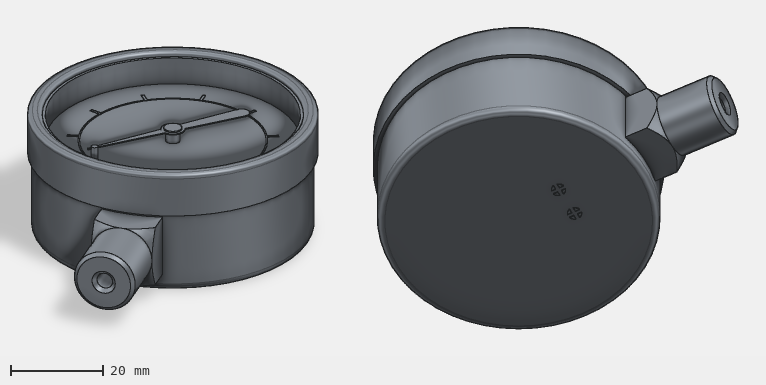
import cadquery as cq
import math


bezel_dia = 63.2
total_length = 82.4
total_height = 28.85
screw_head_height = 0.25

case_dia = 61.5
case_edge_radius = 1.65
bezel_bottom_z = 18.55
bezel_edge_radius = 1.1
bezel_opening_dia = 56.8
window_dia = 55.5
window_depth = 1.15
dial_depth = 7.4

stem_dia = 13.85
stem_axis_z = 10.9
stem_chamfer = 0.8
wrench_block_end = 37.75
wrench_corner_cut = 2.5
port_dia = 3.55
port_mouth_dia = 5.3
port_depth = 9.9

scale_inner_radius = 20.3
scale_line_width = 0.3
tick_outer_radius = 23.1
tick_width = 0.7
tick_steps = 8
scale_start_angle = -45.0
scale_sweep = 270.0
scale_relief = 0.1

needle_angle = 45.0
needle_thickness = 0.25
needle_top_height = 2.9
needle_head_dia = 3.55
needle_head_reach = 16.9
needle_tail_reach = 20.9
needle_tail_width = 0.3
needle_disc_dia = 5.3
cap_dia = 3.95
cap_height = 0.3
shaft_dia = 3.1

stop_pin_dia = 1.5
stop_pin_height = 3.9
stop_pin_x = -13.1
stop_pin_y = -15.2

screw_head_dia = 3.1
screw_slot_width = 0.9
screw_offset_x = 3.7
screw_y = -11.8

top_z = total_height - screw_head_height
window_z = top_z - window_depth
dial_z = top_z - dial_depth
stem_end = total_length - bezel_dia / 2


def disc(dia, bottom_z, height, x=0.0, y=0.0):
    """Upright cylinder standing on the level bottom_z."""
    return cq.Workplane("XY", origin=(x, y, bottom_z)).circle(dia / 2).extrude(height)


def make_housing():
    """Case with a rounded back edge, and the wider bezel with its rounded rim and recess."""
    case = disc(case_dia, 0, window_z).faces("<Z").edges().fillet(case_edge_radius)
    bezel = disc(bezel_dia, bezel_bottom_z, top_z - bezel_bottom_z)
    bezel = bezel.cut(disc(bezel_opening_dia, window_z, window_depth))
    bezel = bezel.faces(">Z").edges().fillet(bezel_edge_radius)
    return case.union(bezel).cut(disc(window_dia, dial_z, dial_depth))


def make_stem():
    """Round stem and square wrench block whose corners are turned to a cone."""
    section = cq.Workplane("XZ", origin=(0, 0, stem_axis_z))
    rod = section.circle(stem_dia / 2).extrude(stem_end).faces("<Y").chamfer(stem_chamfer)
    block = section.rect(stem_dia, stem_dia).extrude(wrench_block_end)
    corner_radius = stem_dia / math.sqrt(2)
    turned_envelope = (
        cq.Workplane("XY", origin=(0, 0, stem_axis_z))
        .moveTo(0, 0)
        .lineTo(corner_radius, 0)
        .lineTo(corner_radius, -(wrench_block_end - wrench_corner_cut))
        .lineTo(stem_dia / 2, -wrench_block_end)
        .lineTo(0, -wrench_block_end)
        .close()
        .revolve(360, (0, 0, 0), (0, 1, 0))
    )
    return rod.union(block.intersect(turned_envelope))


def make_port():
    """Blind bore in the stem end with a 45 degree mouth."""
    mouth_depth = (port_mouth_dia - port_dia) / 2
    return (
        cq.Workplane("XY", origin=(0, -stem_end, stem_axis_z))
        .lineTo(port_mouth_dia / 2, 0)
        .lineTo(port_dia / 2, mouth_depth)
        .lineTo(port_dia / 2, port_depth)
        .lineTo(0, port_depth)
        .close()
        .revolve(360, (0, 0, 0), (0, 1, 0))
    )


def make_scale():
    """Raised scale arc with evenly spaced ticks pointing outward."""
    outer_radius = scale_inner_radius + scale_line_width

    def on_circle(radius, angle):
        return (radius * math.cos(math.radians(angle)), radius * math.sin(math.radians(angle)))

    middle_angle = scale_start_angle + scale_sweep / 2
    end_angle = scale_start_angle + scale_sweep
    scale = (
        cq.Workplane("XY", origin=(0, 0, dial_z))
        .moveTo(*on_circle(scale_inner_radius, scale_start_angle))
        .lineTo(*on_circle(outer_radius, scale_start_angle))
        .threePointArc(on_circle(outer_radius, middle_angle), on_circle(outer_radius, end_angle))
        .lineTo(*on_circle(scale_inner_radius, end_angle))
        .threePointArc(
            on_circle(scale_inner_radius, middle_angle),
            on_circle(scale_inner_radius, scale_start_angle),
        )
        .close()
        .extrude(scale_relief)
    )
    tick_length = tick_outer_radius - scale_inner_radius
    tick = (
        cq.Workplane("XY", origin=(0, 0, dial_z))
        .center(scale_inner_radius + tick_length / 2, 0)
        .rect(tick_length, tick_width)
        .extrude(scale_relief)
    )
    for step in range(tick_steps + 1):
        angle = scale_start_angle + step * scale_sweep / tick_steps
        scale = scale.union(tick.rotate((0, 0, 0), (0, 0, 1), angle))
    return scale


def make_needle():
    """Tapered needle with a round head, carried on a shaft and held by a cap."""
    plate_z = dial_z + needle_top_height - needle_thickness
    head_radius = needle_head_dia / 2
    blade = (
        cq.Workplane("XY", origin=(0, 0, plate_z))
        .moveTo(-needle_tail_reach, -needle_tail_width / 2)
        .lineTo(needle_head_reach, -head_radius)
        .threePointArc((needle_head_reach + head_radius, 0), (needle_head_reach, head_radius))
        .lineTo(-needle_tail_reach, needle_tail_width / 2)
        .close()
        .extrude(needle_thickness)
        .rotate((0, 0, 0), (0, 0, 1), needle_angle)
    )
    shaft = disc(shaft_dia, dial_z, needle_top_height)
    plate = disc(needle_disc_dia, plate_z, needle_thickness)
    cap = disc(cap_dia, dial_z + needle_top_height, cap_height)
    return shaft.union(plate).union(blade).union(cap)


def make_screw_head(x):
    """Flat screw head on the back face, split by a cross slot."""
    head = disc(screw_head_dia, -screw_head_height, screw_head_height, x, screw_y)
    base = cq.Workplane("XY", origin=(x, screw_y, -screw_head_height))
    slot = base.rect(screw_head_dia, screw_slot_width).extrude(screw_head_height)
    cross_slot = base.rect(screw_slot_width, screw_head_dia).extrude(screw_head_height)
    return head.cut(slot).cut(cross_slot)


result = make_housing().union(make_stem()).cut(make_port())
result = result.union(make_scale()).union(make_needle())
result = result.union(disc(stop_pin_dia, dial_z, stop_pin_height, stop_pin_x, stop_pin_y))
for screw_x in (-screw_offset_x, screw_offset_x):
    result = result.union(make_screw_head(screw_x))